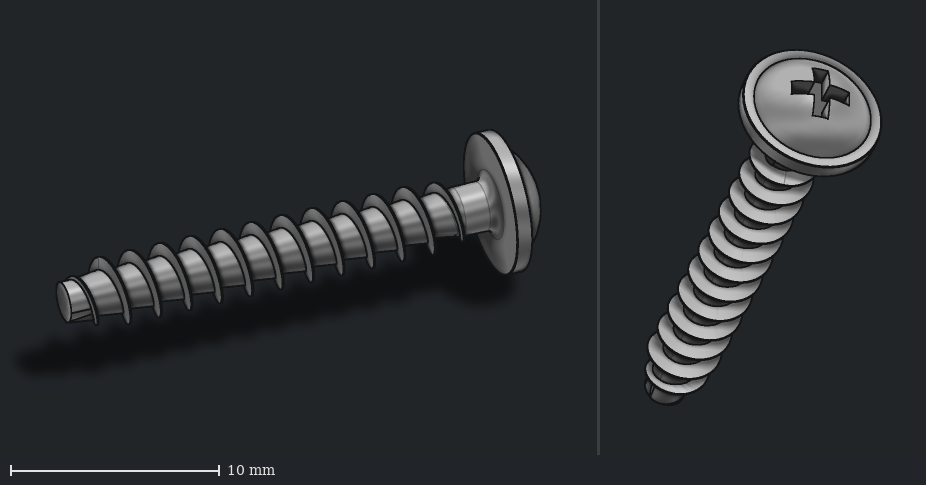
import cadquery as cq
import math


flange_radius = 3.5
flange_thickness = 0.8
flange_edge_chamfer = 0.04
dome_base_radius = 2.95
head_height = 2.34
recess_span = 2.9
recess_width = 0.78
recess_depth = 1.3

shank_length = 22.0
neck_radius = 1.225
neck_fillet = 0.5
neck_end = 1.75
core_radius = 0.99
core_taper_length = 1.25
tip_dish_radius = 0.94
tip_dish_depth = 0.09

pitch = 1.57
crest_radius = 1.75
crest_width = 0.08
root_width = 0.43
phase_depth = 2.0
thread_start_depth = 1.3
start_crest_radius = 1.38
full_thread_depth = 3.2
runout_depth = 19.8
tip_crest_radius = 0.9

land_radius = 1.15
land_end_radius = 1.0
land_fade_turns = 0.125
land_start_depth = phase_depth - pitch / 8
land_gap = 0.08

buried_radius = 0.75
points_per_turn = 8


def helix_point(depth, radius, shift):
    """Point on the thread helix, moved along the axis by shift."""
    angle = 2 * math.pi * (depth - phase_depth) / pitch
    return cq.Vector(radius * math.cos(angle), -(depth + shift), radius * math.sin(angle))


def helical_edge(start, end, start_corner, end_corner):
    """Helical edge along which one profile corner (radius, shift) travels."""
    steps = math.ceil((end - start) / pitch * points_per_turn)
    points = []
    for i in range(steps + 1):
        t = i / steps
        radius = start_corner[0] + t * (end_corner[0] - start_corner[0])
        shift = start_corner[1] + t * (end_corner[1] - start_corner[1])
        points.append(helix_point(start + t * (end - start), radius, shift))
    return cq.Edge.makeSpline(points)


def profile_cap(depth, corners):
    """Flat face closing a helical body at the given depth."""
    points = [helix_point(depth, radius, shift) for radius, shift in corners]
    return cq.Face.makeFromWires(cq.Wire.makePolygon(points, close=True))


def helical_body(stations):
    """Solid through (depth, corners) stations, its profile changing evenly between them."""
    faces = [profile_cap(*stations[0]), profile_cap(*stations[-1])]
    for (start, first), (end, last) in zip(stations, stations[1:]):
        edges = [helical_edge(start, end, a, b) for a, b in zip(first, last)]
        for edge, next_edge in zip(edges, edges[1:] + edges[:1]):
            faces.append(cq.Face.makeRuledSurface(edge, next_edge))
    return cq.Workplane(obj=cq.Solid.makeSolid(cq.Shell.makeShell(faces)).fix())


def thread_corners(radius):
    """Symmetrical thread profile with its crest at the given radius."""
    flank_slope = (root_width - crest_width) / 2 / (crest_radius - core_radius)
    half_crest = crest_width / 2
    half_base = half_crest + flank_slope * (radius - buried_radius)
    return [
        (buried_radius, -half_base),
        (radius, -half_crest),
        (radius, half_crest),
        (buried_radius, half_base),
    ]


def make_thread():
    """Thread that rises out of the neck, runs at full height and sinks into the core at the tip."""
    return helical_body([
        (thread_start_depth, thread_corners(start_crest_radius)),
        (full_thread_depth, thread_corners(crest_radius)),
        (runout_depth, thread_corners(crest_radius)),
        (shank_length, thread_corners(tip_crest_radius)),
    ])


def land_corners(radius):
    """Land profile falling from the given radius to the core over one turn."""
    low_end = pitch - land_gap
    return [
        (buried_radius, 0),
        (radius, 0),
        (radius, root_width / 2),
        (land_end_radius, low_end),
        (buried_radius, low_end),
    ]


def make_land():
    """Land in one-turn sections, fading out over a last part turn at the tip."""
    full_turns = math.ceil((runout_depth - land_start_depth) / pitch)
    stations = [
        (land_start_depth + turn * pitch, land_corners(land_radius))
        for turn in range(full_turns + 1)
    ]
    end_depth = stations[-1][0] + land_fade_turns * pitch
    return helical_body(stations + [(end_depth, land_corners(land_end_radius))])


def make_core():
    """Head, fillet, neck and core as one turned body."""
    dome_rise = head_height - flange_thickness
    dome_radius = (dome_base_radius**2 + dome_rise**2) / (2 * dome_rise)
    mid_angle = math.asin(dome_base_radius / dome_radius) / 2
    dome_middle = (
        dome_radius * math.sin(mid_angle),
        head_height - dome_radius * (1 - math.cos(mid_angle)),
    )
    inset = flange_radius - flange_edge_chamfer
    return (
        cq.Workplane("XY")
        .moveTo(0, head_height)
        .threePointArc(dome_middle, (dome_base_radius, flange_thickness))
        .lineTo(inset, flange_thickness)
        .lineTo(flange_radius, flange_thickness - flange_edge_chamfer)
        .lineTo(flange_radius, flange_edge_chamfer)
        .lineTo(inset, 0)
        .lineTo(neck_radius + neck_fillet, 0)
        .radiusArc((neck_radius, -neck_fillet), -neck_fillet)
        .lineTo(neck_radius, -neck_end)
        .lineTo(core_radius, -neck_end - core_taper_length)
        .lineTo(core_radius, -shank_length)
        .lineTo(0, -shank_length)
        .close()
        .revolve(360, (0, 0, 0), (0, 1, 0))
    )


def cut_recess(body):
    """Cross recess in the crown of the dome."""
    floor = head_height - recess_depth
    for size_x, size_z in [(recess_span, recess_width), (recess_width, recess_span)]:
        slot = cq.Workplane("XY").box(size_x, recess_depth, size_z, centered=(True, False, True))
        body = body.cut(slot.translate((0, floor, 0)))
    return body


def cut_tip_dish(body):
    """Shallow spherical hollow in the end face."""
    sphere_radius = (tip_dish_radius**2 + tip_dish_depth**2) / (2 * tip_dish_depth)
    centre_y = -shank_length + tip_dish_depth - sphere_radius
    return body.cut(cq.Workplane("XY").sphere(sphere_radius).translate((0, centre_y, 0)))


def threaded_zone():
    """Cylinder that bounds the thread and land between the neck and the tip."""
    return (
        cq.Workplane("XZ", origin=(0, -neck_end, 0))
        .circle(2 * crest_radius)
        .extrude(shank_length - neck_end)
    )


screw = cut_recess(make_core())
for helical in (make_land(), make_thread()):
    screw = screw.union(helical.intersect(threaded_zone()))
result = cut_tip_dish(screw).solids()